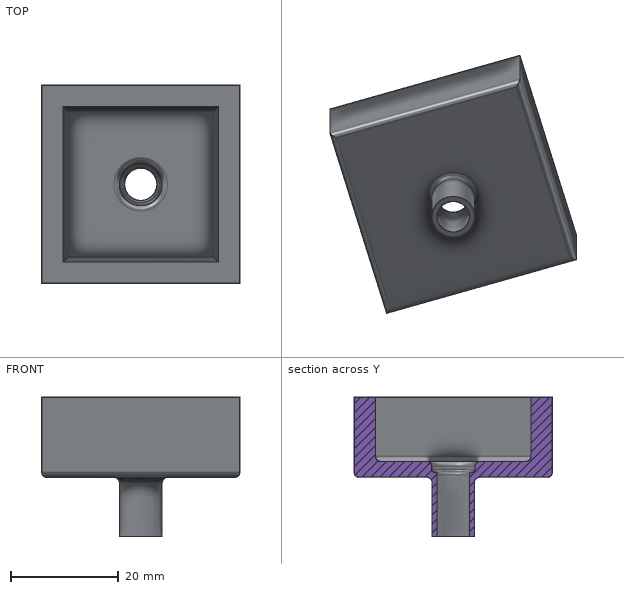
import cadquery as cq

side = 37.0
tray_height = 15.0
wall = 4.0
floor_thickness = 3.0
edge_radius = 1.0

total_height = 26.0
pipe_diameter = 8.0
bore_diameter = 6.0
recess_diameter = 8.0
recess_depth = 2.0

pipe_length = total_height - tray_height
pocket_side = side - 2 * wall
step_radius = (recess_diameter - bore_diameter) / 4


def make_tray():
    """Square block, rounded around its bottom outline, with a round-bottomed pocket."""
    block = cq.Workplane("XY").box(side, side, tray_height, centered=(True, True, False))
    block = block.faces("<Z").edges().fillet(edge_radius)
    pocket = (
        cq.Workplane("XY", origin=(0, 0, floor_thickness))
        .rect(pocket_side, pocket_side)
        .extrude(tray_height - floor_thickness)
        .faces("<Z")
        .edges()
        .fillet(edge_radius)
    )
    return block.cut(pocket)


def make_pipe():
    """Solid pipe whose top flares into the underside of the tray."""
    radius = pipe_diameter / 2
    return (
        cq.Workplane("XZ")
        .moveTo(0, -pipe_length)
        .lineTo(radius, -pipe_length)
        .lineTo(radius, -edge_radius)
        .radiusArc((radius + edge_radius, 0), edge_radius)
        .lineTo(0, 0)
        .close()
        .revolve(360, (0, 0, 0), (0, 1, 0))
    )


def make_bore():
    """Through bore, opening in an S-shaped step into a recess with a rounded rim."""
    bore = bore_diameter / 2
    recess = recess_diameter / 2
    recess_floor = floor_thickness - recess_depth
    return (
        cq.Workplane("XZ")
        .moveTo(0, -pipe_length)
        .lineTo(bore, -pipe_length)
        .lineTo(bore, recess_floor - step_radius)
        .radiusArc((bore + step_radius, recess_floor), step_radius)
        .radiusArc((recess, recess_floor + step_radius), -step_radius)
        .lineTo(recess, floor_thickness - edge_radius)
        .radiusArc((recess + edge_radius, floor_thickness), edge_radius)
        .lineTo(0, floor_thickness)
        .close()
        .revolve(360, (0, 0, 0), (0, 1, 0))
    )


result = make_tray().union(make_pipe()).cut(make_bore())